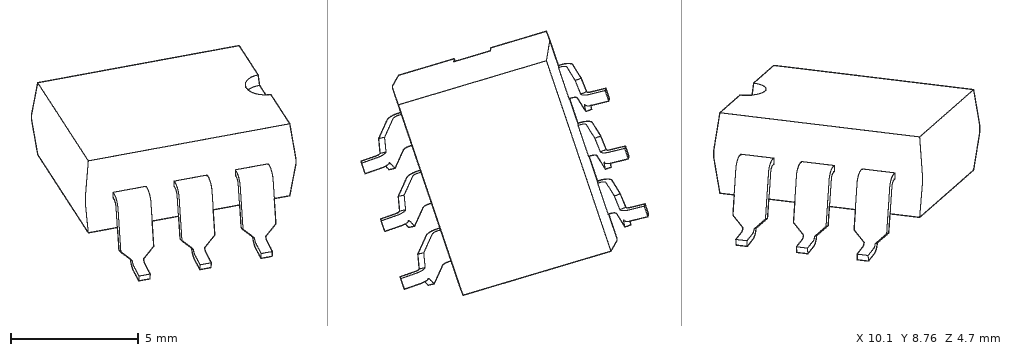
import cadquery as cq
import math


span = 10.11
height = 4.7

body_width = 6.48
body_length = 8.76
body_height = 3.35
draft_angle = 7.0
notch_radius = 0.755
notch_depth = 0.5

lead_pitch = 2.54
leads_per_side = 3
thickness = 0.254
lead_width = 1.37
foot_width = 0.47
foot_length = 0.65
foot_droop = 8.0
leg_tilt = 10.8
heel_radius = 0.175
shoulder_radius = 0.25
taper_length = (lead_width - foot_width) / 2

heel_outer_radius = heel_radius + thickness
shoulder_outer_radius = shoulder_radius + thickness
half_height = (body_height - thickness) / 2
band_top = height - half_height
band_bottom = band_top - thickness
draft_inset = half_height * math.tan(math.radians(draft_angle))


def move(point, angle, distance):
    """XZ point at a distance from another, at an angle in degrees above +X."""
    turn = math.radians(angle)
    return (point[0] + distance * math.cos(turn), point[1] + distance * math.sin(turn))


def make_housing():
    """Straight parting band with a drafted half above and below, and a pin 1 notch."""
    band = cq.Workplane("XY").workplane(offset=band_bottom).rect(body_width, body_length).extrude(thickness)
    upper = band.faces(">Z").wires().toPending().extrude(half_height, taper=draft_angle, combine=False)
    lower = upper.mirror("XY", (0, 0, (band_top + band_bottom) / 2))
    notch = (
        cq.Workplane("XY")
        .workplane(offset=height - notch_depth)
        .center(0, body_length / 2 - draft_inset)
        .circle(notch_radius)
        .extrude(notch_depth)
    )
    return band.union(upper).union(lower).cut(notch)


def make_lead():
    """Gull-wing lead on the -X side at Y = 0, ending flush against the parting band."""
    foot_along = foot_droop
    foot_up = foot_droop + 90
    leg_along = 90 - leg_tilt
    leg_inward = -leg_tilt
    leg_outward = leg_inward + 180

    toe_bottom = (-span / 2 + thickness * math.sin(math.radians(foot_droop)), 0)
    toe_top = move(toe_bottom, foot_up, thickness)
    foot_end_bottom = move(toe_bottom, foot_along, foot_length)
    foot_end_top = move(toe_top, foot_along, foot_length)

    heel_center = move(foot_end_top, foot_up, heel_radius)
    heel_mid_angle = (foot_up - 180 + leg_inward) / 2
    heel_outer_mid = move(heel_center, heel_mid_angle, heel_outer_radius)
    heel_inner_mid = move(heel_center, heel_mid_angle, heel_radius)
    leg_bottom_inner = move(heel_center, leg_inward, heel_outer_radius)
    leg_bottom_outer = move(heel_center, leg_inward, heel_radius)

    shoulder_level = band_bottom - shoulder_radius
    leg_top_level = shoulder_level + shoulder_radius * math.sin(math.radians(leg_outward))
    leg_length = (leg_top_level - leg_bottom_inner[1]) / math.sin(math.radians(leg_along))
    leg_top_inner = move(leg_bottom_inner, leg_along, leg_length)
    leg_top_outer = move(leg_bottom_outer, leg_along, leg_length)

    shoulder_center = move(leg_top_inner, leg_inward, shoulder_radius)
    shoulder_mid_angle = (leg_outward + 90) / 2
    shoulder_inner_mid = move(shoulder_center, shoulder_mid_angle, shoulder_radius)
    shoulder_outer_mid = move(shoulder_center, shoulder_mid_angle, shoulder_outer_radius)
    body_face = -body_width / 2

    bent_strip = (
        cq.Workplane("XZ")
        .moveTo(*toe_bottom)
        .lineTo(*foot_end_bottom)
        .threePointArc(heel_outer_mid, leg_bottom_inner)
        .lineTo(*leg_top_inner)
        .threePointArc(shoulder_inner_mid, (shoulder_center[0], band_bottom))
        .lineTo(body_face, band_bottom)
        .lineTo(body_face, band_top)
        .lineTo(shoulder_center[0], band_top)
        .threePointArc(shoulder_outer_mid, leg_top_outer)
        .lineTo(*leg_bottom_outer)
        .threePointArc(heel_inner_mid, foot_end_top)
        .lineTo(*toe_top)
        .close()
        .extrude(lead_width / 2, both=True)
    )

    leg_normal = move((0, 0), leg_outward, 1)
    leg_plane = cq.Plane(
        origin=(leg_bottom_outer[0], 0, leg_bottom_outer[1]),
        xDir=(0, -1, 0),
        normal=(leg_normal[0], 0, leg_normal[1]),
    )
    outline = (
        cq.Workplane(leg_plane)
        .moveTo(-foot_width / 2, -height)
        .lineTo(-foot_width / 2, 0)
        .lineTo(-lead_width / 2, taper_length)
        .lineTo(-lead_width / 2, height)
        .lineTo(lead_width / 2, height)
        .lineTo(lead_width / 2, taper_length)
        .lineTo(foot_width / 2, 0)
        .lineTo(foot_width / 2, -height)
        .close()
        .extrude(span, both=True)
    )
    return bent_strip.intersect(outline)


def make_leads():
    """Both rows of leads; the second row is the first one turned about Z."""
    lead = make_lead()
    leads = []
    for side_angle in (0, 180):
        row_lead = lead.rotate((0, 0, 0), (0, 0, 1), side_angle)
        for index in range(leads_per_side):
            y = (index - (leads_per_side - 1) / 2) * lead_pitch
            leads.append(row_lead.translate((0, y, 0)).val())
    return leads


housing = make_housing()
leads = make_leads()

result = cq.Compound.makeCompound([housing.val(), *leads])